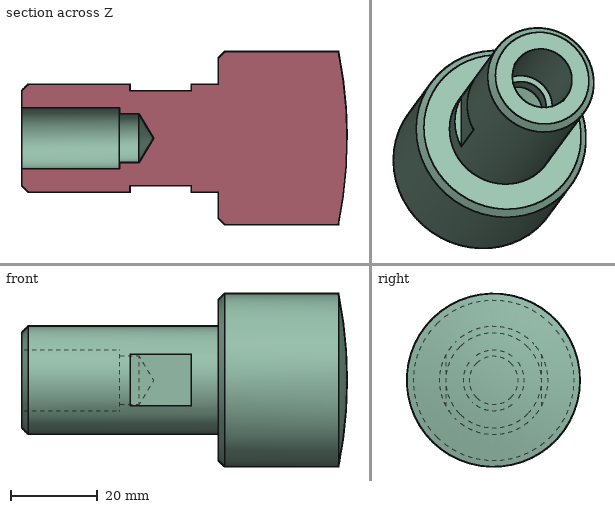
import cadquery as cq
import math

total_length = 75.0
head_diameter = 40.0
shank_diameter = 25.0
shank_length = 45.2
edge_chamfer = 1.5
crown_radius = 100.0

flat_start = 25.0
flat_length = 14.0
across_flats = 22.0

wide_bore_diameter = 14.0
wide_bore_depth = 22.5
narrow_bore_diameter = 11.2
narrow_bore_depth = 27.0
tip_half_angle = 59.0

head_radius = head_diameter / 2
shank_radius = shank_diameter / 2
wide_bore_radius = wide_bore_diameter / 2
narrow_bore_radius = narrow_bore_diameter / 2


def crown_height(radius):
    """Drop of the domed end face at a given distance from the axis."""
    return crown_radius - math.sqrt(crown_radius**2 - radius**2)


def make_body():
    """Chamfered shank and head with a domed end, turned about X."""
    rim_x = total_length - crown_height(head_radius)
    middle_radius = head_radius / 2
    profile = (
        cq.Workplane("XY")
        .moveTo(0, 0)
        .lineTo(0, shank_radius - edge_chamfer)
        .lineTo(edge_chamfer, shank_radius)
        .lineTo(shank_length, shank_radius)
        .lineTo(shank_length, head_radius - edge_chamfer)
        .lineTo(shank_length + edge_chamfer, head_radius)
        .lineTo(rim_x, head_radius)
        .threePointArc(
            (total_length - crown_height(middle_radius), middle_radius),
            (total_length, 0),
        )
        .close()
    )
    return profile.revolve(360, (0, 0, 0), (1, 0, 0))


def make_bore():
    """Stepped blind bore on the axis, open at the shank end."""
    tip_length = narrow_bore_radius / math.tan(math.radians(tip_half_angle))
    profile = (
        cq.Workplane("XY")
        .moveTo(0, 0)
        .lineTo(0, wide_bore_radius)
        .lineTo(wide_bore_depth, wide_bore_radius)
        .lineTo(wide_bore_depth, narrow_bore_radius)
        .lineTo(narrow_bore_depth, narrow_bore_radius)
        .lineTo(narrow_bore_depth + tip_length, 0)
        .close()
    )
    return profile.revolve(360, (0, 0, 0), (1, 0, 0))


def make_flat_cutter(side):
    """Block that mills one flat; side is -1 or +1 along Y."""
    depth = (shank_diameter - across_flats) / 2
    return cq.Workplane("XY").box(flat_length, depth, shank_diameter).translate(
        (flat_start + flat_length / 2, side * (across_flats + depth) / 2, 0)
    )


result = make_body().cut(make_bore())
for side in (-1, 1):
    result = result.cut(make_flat_cutter(side))